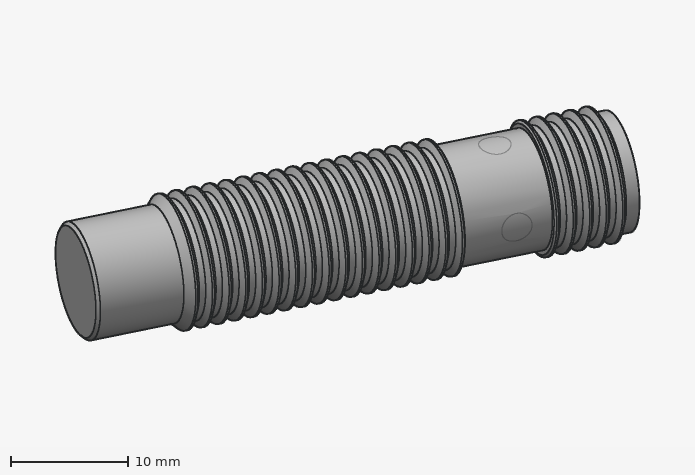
import cadquery as cq
import math

length = 49.5
crest_radius = 6.0
root_radius = 5.35
nose_radius = 5.2
nose_chamfer = 0.3

crest_width = 0.2
flank_angle = math.radians(30)
rear_ridge_count = 5
rear_ridge_first = 1.7
rear_ridge_last = 7.7
front_ridge_count = 17
front_ridge_first = 16.35
front_ridge_last = 40.7

band_start = 7.95
band_end = 16.1

window_radius = 1.4
window_center = 11.25
window_count = 4
window_floor_radius = 4.45

ridge_height = crest_radius - root_radius
ridge_half_base = crest_width / 2 + ridge_height * math.tan(flank_angle)


def ridge_centers(first, last, count):
    """Evenly spaced ridge distances from the rear end."""
    pitch = (last - first) / (count - 1)
    return [first + pitch * index for index in range(count)]


def ridge_points(center):
    """Trapezoidal ridge section as (radius, distance from the rear end)."""
    return [
        (root_radius, center - ridge_half_base),
        (crest_radius, center - crest_width / 2),
        (crest_radius, center + crest_width / 2),
        (root_radius, center + ridge_half_base),
    ]


def flank_radius(offset):
    """Radius of a ridge flank at an axial offset from the ridge center."""
    return crest_radius - (offset - crest_width / 2) / math.tan(flank_angle)


def thread_points(centers):
    """Section of a run of ridges."""
    return [point for center in centers for point in ridge_points(center)]


def make_barrel():
    """Revolve the threaded barrel and its stepped nose in one profile."""
    rear_centers = ridge_centers(rear_ridge_first, rear_ridge_last, rear_ridge_count)
    front_centers = ridge_centers(front_ridge_first, front_ridge_last, front_ridge_count)
    profile = [(0, 0), (root_radius, 0)]

    profile += thread_points(rear_centers)[:-1]
    profile += [
        (flank_radius(band_start - rear_ridge_last), band_start),
        (root_radius, band_start),
        (root_radius, band_end),
        (flank_radius(front_ridge_first - band_end), band_end),
    ]
    profile += thread_points(front_centers)[1:-1]

    nose_start = profile[-1][1] + crest_radius - nose_radius
    profile += [
        (nose_radius, nose_start),
        (nose_radius, length - nose_chamfer),
        (nose_radius - nose_chamfer, length),
        (0, length),
    ]
    points = [(-radius, -distance) for radius, distance in profile]
    return cq.Workplane("XY").polyline(points).close().revolve(360, (0, 0, 0), (0, 1, 0))


def make_window_pin(angle):
    """Radial pin at the given angle around Y, reaching past the band surface."""
    return (
        cq.Workplane("XY", origin=(0, -window_center, window_floor_radius))
        .circle(window_radius)
        .extrude(crest_radius - window_floor_radius)
        .rotate((0, 0, 0), (0, 1, 0), angle)
    )


def add_window(body, angle):
    """Cut one window and refill it flush, keeping its outline on the band surface."""
    pin = make_window_pin(angle)
    window = body.intersect(pin)
    return body.cut(pin, clean=False).union(window, clean=False)


barrel = make_barrel()
for window_index in range(window_count):
    barrel = add_window(barrel, 360 / window_count * window_index)

result = cq.Workplane(barrel.solids().val())